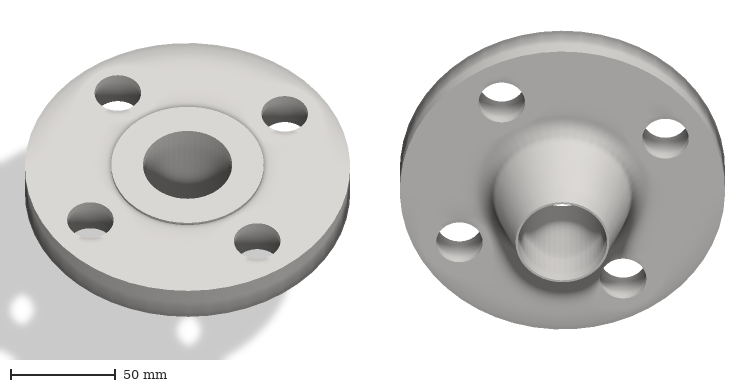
import cadquery as cq
import math

total_height = 68.3
face_height = 1.5
flange_thickness = 19.1
flange_top = total_height - face_height
flange_bottom = flange_top - flange_thickness

flange_diameter = 155.5
face_diameter = 73.0
bore_diameter = 42.6
weld_end_diameter = 44.8
neck_small_diameter = 48.2
neck_large_diameter = 66.7

bevel_height = 8.2
fillet_radius = 7.6
neck_angle = math.radians(15)
fillet_height = fillet_radius * (1 - math.sin(neck_angle))

bolt_hole_diameter = 22.2
bolt_circle_diameter = 114.3
bolt_count = 4


def make_body():
    """Revolve the solid outer profile about Z; points are (radius, height)."""
    neck_radius = neck_large_diameter / 2
    fillet_center_radius = neck_radius + fillet_radius * math.cos(neck_angle)
    fillet_center_height = flange_bottom - fillet_radius
    middle_angle = (neck_angle + math.pi / 2) / 2
    fillet_middle = (
        fillet_center_radius - fillet_radius * math.cos(middle_angle),
        fillet_center_height + fillet_radius * math.sin(middle_angle),
    )
    profile = (
        cq.Workplane("XZ")
        .moveTo(0, 0)
        .lineTo(weld_end_diameter / 2, 0)
        .lineTo(neck_small_diameter / 2, bevel_height)
        .lineTo(neck_radius, flange_bottom - fillet_height)
        .threePointArc(fillet_middle, (fillet_center_radius, flange_bottom))
        .lineTo(flange_diameter / 2, flange_bottom)
        .lineTo(flange_diameter / 2, flange_top)
        .lineTo(face_diameter / 2, flange_top)
        .lineTo(face_diameter / 2, total_height)
        .lineTo(0, total_height)
        .close()
    )
    return profile.revolve(360, (0, 0, 0), (0, 1, 0))


def make_bore():
    return cq.Workplane("XY").circle(bore_diameter / 2).extrude(total_height)


def make_bolt_holes():
    return (
        cq.Workplane("XY", origin=(0, 0, flange_bottom))
        .polarArray(bolt_circle_diameter / 2, 0, 360, bolt_count)
        .circle(bolt_hole_diameter / 2)
        .extrude(flange_thickness)
    )


result = make_body().cut(make_bore()).cut(make_bolt_holes())